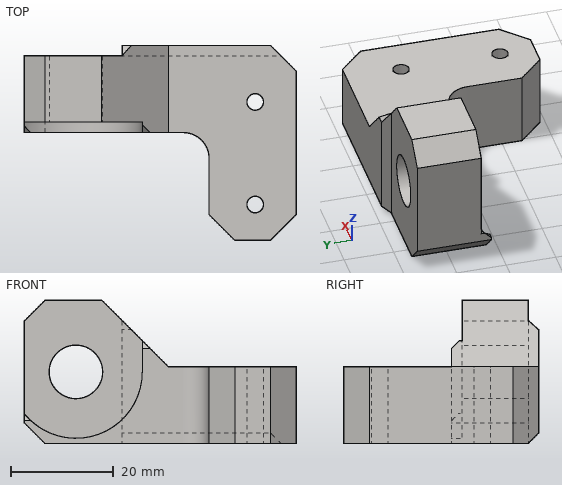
import cadquery as cq

length = 53.0
depth = 38.0
height = 28.0

arm_width = 17.0
foot_height = 15.0
foot_chamfer = 5.05
inner_fillet = 5.0
front_y = depth - arm_width
leg_x = length - arm_width

head_chamfer = 4.1
head_flat_end = 15.1
slope_end = head_flat_end + height - foot_height
bore_x = 10.05
bore_z = height / 2
bore_diameter = 10.4
recess_radius = 12.95
recess_depth = 2.05
recess_right = bore_x + recess_radius

upper_bevel_z = 18.55
lower_bevel_z = 4.5
lower_bevel_length = 2.65

step_length = 19.1
step_depth = 2.0
back_top_bevel_height = 1.8
back_bottom_bevel = 2.1

screw_diameter = 3.2
screw_x = length - 8.0
screw_front_y = 7.0
screw_spacing = 20.0


def slope_height(x):
    """Height of the 45 degree slope between the head and the foot."""
    return foot_height + slope_end - x


def side_prism(points, x_start, x_length):
    """Extrude a YZ polygon along X."""
    return cq.Workplane("YZ", origin=(x_start, 0, 0)).polyline(points).close().extrude(x_length)


def make_body():
    """Intersect the side profile with the L-shaped plan."""
    profile = (
        cq.Workplane("XZ")
        .moveTo(head_chamfer, 0)
        .lineTo(length, 0)
        .lineTo(length, foot_height)
        .lineTo(slope_end, foot_height)
        .lineTo(head_flat_end, height)
        .lineTo(head_chamfer, height)
        .lineTo(0, height - head_chamfer)
        .lineTo(0, head_chamfer)
        .close()
        .extrude(-depth)
    )
    plan = (
        cq.Workplane("XY")
        .moveTo(0, front_y)
        .lineTo(leg_x - inner_fillet, front_y)
        .radiusArc((leg_x, front_y - inner_fillet), inner_fillet)
        .lineTo(leg_x, foot_chamfer)
        .lineTo(leg_x + foot_chamfer, 0)
        .lineTo(length - foot_chamfer, 0)
        .lineTo(length, foot_chamfer)
        .lineTo(length, depth - foot_chamfer)
        .lineTo(length - foot_chamfer, depth)
        .lineTo(0, depth)
        .close()
        .extrude(height)
    )
    return profile.intersect(plan)


def make_front_recess():
    """Round recess below the bore axis, open to the top and left above it."""
    face = cq.Workplane("XZ", origin=(0, front_y, 0))
    round_part = face.center(bore_x, bore_z).circle(recess_radius).extrude(-recess_depth)
    open_part = cq.Workplane("XY").box(
        recess_right, recess_depth, height - bore_z, centered=False
    ).translate((0, front_y, bore_z))
    return round_part.union(open_part)


def make_front_bevel(bevel_z, x_start, x_length):
    """45 degree cutter that rises backwards from the front face."""
    return side_prism(
        [
            (front_y, bevel_z),
            (front_y + recess_depth, bevel_z + recess_depth),
            (front_y, bevel_z + recess_depth),
        ],
        x_start,
        x_length,
    )


def make_back_step():
    """Clearance behind the head."""
    return cq.Workplane("XY").box(step_length, step_depth, height, centered=False).translate(
        (0, depth - step_depth, 0)
    )


def make_back_top_bevel():
    """Bevel on the corner where the back step meets the slope."""
    top_z = slope_height(step_length)
    return side_prism(
        [
            (depth - step_depth, top_z),
            (depth, top_z),
            (depth, top_z - back_top_bevel_height),
        ],
        step_length,
        back_top_bevel_height,
    )


def make_back_bottom_bevel():
    """Bevel along the rear bottom edge."""
    return side_prism(
        [(depth - back_bottom_bevel, 0), (depth, 0), (depth, back_bottom_bevel)],
        step_length,
        length - step_length,
    )


def make_screw_holes():
    """Two through holes along the leg."""
    centres = [(screw_x, screw_front_y + i * screw_spacing) for i in range(2)]
    return cq.Workplane("XY").pushPoints(centres).circle(screw_diameter / 2).extrude(foot_height)


bore = cq.Workplane("XZ").center(bore_x, bore_z).circle(bore_diameter / 2).extrude(-depth)

result = (
    make_body()
    .cut(make_front_recess())
    .cut(make_front_bevel(upper_bevel_z, recess_right, slope_end - recess_right))
    .cut(make_front_bevel(lower_bevel_z, 0, lower_bevel_length))
    .cut(make_back_step())
    .cut(make_back_top_bevel())
    .cut(make_back_bottom_bevel())
    .cut(bore)
    .cut(make_screw_holes())
)